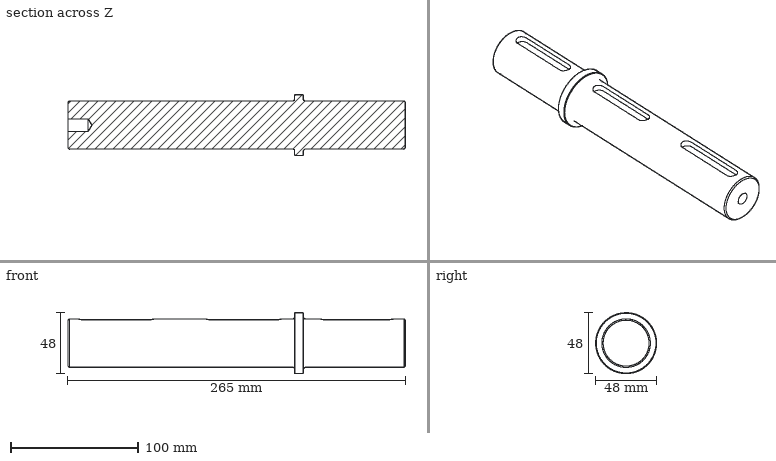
import cadquery as cq
import math

shaft_length = 265.0
shaft_radius = 19.0
end_chamfer = 1.0

collar_radius = 23.98
collar_start = 177.8
collar_width = 7.2
collar_end = collar_start + collar_width
collar_chamfer = 0.5
left_root_fillet = 1.0
right_root_fillet = 1.5

keyway_width = 9.8
keyway_depth = 5.0
long_keyway = 60.0
short_keyway = 57.5
keyways = [(8.0, long_keyway), (108.0, long_keyway), (198.0, short_keyway)]

hole_radius = 4.8
hole_depth = 16.0
hole_tip_angle = 118.0


def make_shaft():
    """Revolve the stepped half profile around the X axis."""
    left_root = shaft_radius + left_root_fillet
    right_root = shaft_radius + right_root_fillet
    profile = (
        cq.Workplane("XY")
        .moveTo(0, 0)
        .lineTo(0, shaft_radius - end_chamfer)
        .lineTo(end_chamfer, shaft_radius)
        .lineTo(collar_start - left_root_fillet, shaft_radius)
        .radiusArc((collar_start, left_root), -left_root_fillet)
        .lineTo(collar_start, collar_radius - collar_chamfer)
        .lineTo(collar_start + collar_chamfer, collar_radius)
        .lineTo(collar_end - collar_chamfer, collar_radius)
        .lineTo(collar_end, collar_radius - collar_chamfer)
        .lineTo(collar_end, right_root)
        .radiusArc((collar_end + right_root_fillet, shaft_radius), -right_root_fillet)
        .lineTo(shaft_length - end_chamfer, shaft_radius)
        .lineTo(shaft_length, shaft_radius - end_chamfer)
        .lineTo(shaft_length, 0)
        .close()
    )
    return profile.revolve(360, (0, 0, 0), (1, 0, 0))


def make_keyway(start, length):
    """Round-ended cutter reaching down from the top of the shaft."""
    return (
        cq.Workplane("XY")
        .workplane(offset=shaft_radius - keyway_depth)
        .center(start + length / 2, 0)
        .slot2D(length, keyway_width)
        .extrude(2 * keyway_depth)
    )


def make_centre_hole():
    """Revolve the drilled hole, including its conical tip."""
    tip_length = hole_radius / math.tan(math.radians(hole_tip_angle / 2))
    return (
        cq.Workplane("XY")
        .polyline([
            (0, 0),
            (0, hole_radius),
            (hole_depth, hole_radius),
            (hole_depth + tip_length, 0),
        ])
        .close()
        .revolve(360, (0, 0, 0), (1, 0, 0))
    )


result = make_shaft().cut(make_centre_hole())
for keyway_start, keyway_length in keyways:
    result = result.cut(make_keyway(keyway_start, keyway_length))